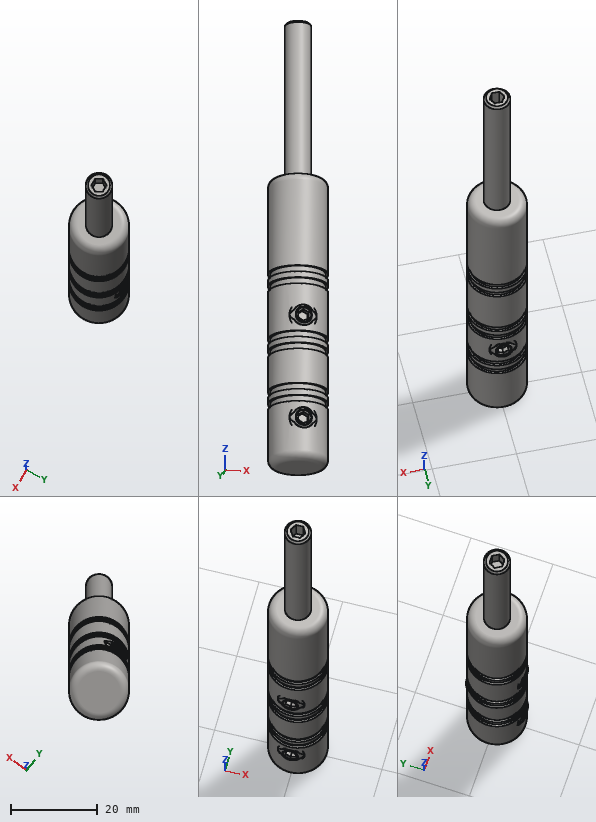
import cadquery as cq
import math

total_length = 108.2
handle_length = 70.0
handle_radius = 14.0 / 2
end_rounding = 2.0

groove_width = 1.5
groove_depth = 0.5
land_width = 1.4
groove_pair_heights = (16.2, 29.0, 44.9)

shaft_radius = 6.2 / 2
shaft_bottom = 5.0
shaft_chamfer = 0.5
shaft_hex_flats = 3.0
shaft_hex_depth = 4.3

screw_radius = 6.5 / 2
screw_end_radius = 2.0
screw_taper_depth = 0.81
screw_hex_flats = 2.4
screw_hex_depth = 1.6
screw_countersink_radius = 1.7
screw_countersink_depth = 0.3
screw_mouth_radius = 5.0 / 2
front_screw_heights = (10.1, 35.1)
back_screw_height = 22.5

FRONT = -1
BACK = 1
screw_places = [(height, FRONT) for height in front_screw_heights] + [(back_screw_height, BACK)]


def upright_cylinder(radius, bottom, top):
    return cq.Workplane("XY").workplane(offset=bottom).circle(radius).extrude(top - bottom)


def hex_socket(flats, depth, top):
    corner_diameter = flats / math.cos(math.pi / 6)
    return cq.Workplane("XY").workplane(offset=top - depth).polygon(6, corner_diameter).extrude(depth)


def place_radially(shape, height, side):
    """Turn a shape built along +Z to point out of the front (-Y) or back (+Y), at a height on the handle."""
    return shape.rotate((0, 0, 0), (1, 0, 0), -90 * side).translate((0, 0, height))


def screw_blank():
    """Set screw without its socket, built along +Z from the shaft surface, tapered at the outer end."""
    taper_start = handle_radius - screw_taper_depth
    profile = cq.Workplane("XZ").polyline([
        (0, shaft_radius),
        (screw_radius, shaft_radius),
        (screw_radius, taper_start),
        (screw_end_radius, handle_radius),
        (0, handle_radius),
    ]).close()
    blank = profile.revolve(360, (0, 0, 0), (0, 1, 0))
    return blank.cut(cq.Workplane("XZ").circle(shaft_radius).extrude(handle_radius, both=True))


def screw_countersink():
    """Cone that opens the socket at the outer end of a set screw, down to the flats of the hexagon."""
    return cq.Workplane(cq.Solid.makeCone(
        screw_hex_flats / 2, screw_countersink_radius, screw_countersink_depth,
        pnt=cq.Vector(0, 0, handle_radius - screw_countersink_depth),
    ))


def make_set_screw(height, side):
    socket = hex_socket(screw_hex_flats, screw_hex_depth, handle_radius).rotate((0, 0, 0), (0, 0, 1), 30)
    screw = screw_blank().cut(socket).cut(screw_countersink())
    return place_radially(screw, height, side)


def groove(center_height):
    bottom = center_height - groove_width / 2
    top = center_height + groove_width / 2
    core = upright_cylinder(handle_radius - groove_depth, bottom, top)
    return upright_cylinder(2 * handle_radius, bottom, top).cut(core)


def make_handle():
    handle = upright_cylinder(handle_radius, 0, handle_length)
    handle = handle.faces("<Z or >Z").edges().fillet(end_rounding)
    for height in groove_pair_heights:
        for direction in (-1, 1):
            handle = handle.cut(groove(height + direction * (groove_width + land_width) / 2))
    handle = handle.cut(upright_cylinder(shaft_radius, shaft_bottom, handle_length))
    for height, side in screw_places:
        mouth = upright_cylinder(screw_mouth_radius, shaft_radius, 2 * handle_radius)
        handle = handle.cut(place_radially(mouth, height, side))
        handle = handle.cut(place_radially(screw_blank(), height, side))
    return handle


def make_shaft():
    shaft = upright_cylinder(shaft_radius, shaft_bottom, total_length)
    shaft = shaft.faces(">Z").chamfer(shaft_chamfer)
    return shaft.cut(hex_socket(shaft_hex_flats, shaft_hex_depth, total_length))


handle = make_handle()
shaft = make_shaft()
set_screws = [make_set_screw(height, side).val() for height, side in screw_places]

result = cq.Compound.makeCompound([handle.solids().val(), shaft.val(), *set_screws])